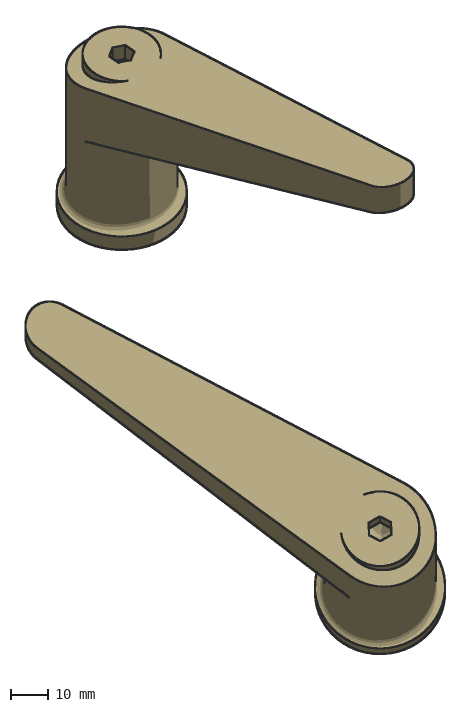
import cadquery as cq
import math

flange_diameter = 35.0
flange_radius = flange_diameter / 2
flange_height = 5.0
post_diameter = 30.0
post_radius = post_diameter / 2
flare_radius = flange_radius - post_radius

overall_length = 125.5
overall_height = 82.8
tip_radius = 7.0
tip_end_x = overall_length - flange_radius
tip_center_x = tip_end_x - tip_radius
top_slope = math.tan(math.radians(14.9))
underside_slope = math.tan(math.radians(20.0))
underside_axis_height = 34.1

head_radius = 10.5
head_top = 56.3

socket_flats = 6.0
socket_corners = socket_flats / math.cos(math.pi / 6)
socket_depth = 5.0
cone_depth = socket_corners / 2 * math.tan(math.radians(30.0))


def top_height(x):
    """Height of the sloping top face at x."""
    return overall_height - (tip_end_x - x) * top_slope


def underside_height(x):
    """Height of the sloping arm underside at x."""
    return underside_axis_height + x * underside_slope


def make_post():
    """Flange and post with a concave flare, cut off by the sloping top."""
    blank_height = top_height(post_radius)
    flare_top = flange_height + flare_radius
    flare_inset = flare_radius * math.sqrt(0.5)
    post = (
        cq.Workplane("XZ")
        .lineTo(flange_radius, 0)
        .lineTo(flange_radius, flange_height)
        .threePointArc(
            (flange_radius - flare_inset, flare_top - flare_inset),
            (post_radius, flare_top),
        )
        .lineTo(post_radius, blank_height)
        .lineTo(0, blank_height)
        .close()
        .revolve(360, (0, 0, 0), (0, 1, 0))
    )
    below_top = (
        cq.Workplane("XZ")
        .moveTo(-flange_radius, 0)
        .lineTo(flange_radius, 0)
        .lineTo(flange_radius, top_height(flange_radius))
        .lineTo(-flange_radius, top_height(-flange_radius))
        .close()
        .extrude(flange_radius, both=True)
    )
    return post.intersect(below_top)


def make_arm():
    """Tangent-sided arm outline, bounded above and below by sloping faces."""
    tangent_sin = (post_radius - tip_radius) / tip_center_x
    tangent_cos = math.sqrt(1 - tangent_sin**2)
    post_x = post_radius * tangent_sin
    post_y = post_radius * tangent_cos
    tip_x = tip_center_x + tip_radius * tangent_sin
    tip_y = tip_radius * tangent_cos
    outline = (
        cq.Workplane("XY")
        .moveTo(post_x, -post_y)
        .lineTo(tip_x, -tip_y)
        .threePointArc((tip_end_x, 0), (tip_x, tip_y))
        .lineTo(post_x, post_y)
        .close()
        .extrude(overall_height)
    )
    side_profile = (
        cq.Workplane("XZ")
        .moveTo(0, underside_height(0))
        .lineTo(tip_end_x, underside_height(tip_end_x))
        .lineTo(tip_end_x, overall_height)
        .lineTo(0, top_height(0))
        .close()
        .extrude(post_radius, both=True)
    )
    return outline.intersect(side_profile)


def make_head():
    """Flat-topped screw head, sunk into the post below the sloping top."""
    head_base = top_height(-post_radius)
    return (
        cq.Workplane("XY")
        .workplane(offset=head_base - socket_depth)
        .circle(head_radius)
        .extrude(head_top - head_base + socket_depth)
    )


def make_socket():
    """Hexagonal recess whose floor is a cone reaching out to the corners."""
    cone_tip = head_top - socket_depth - cone_depth
    hexagon = (
        cq.Workplane("XY")
        .workplane(offset=cone_tip)
        .polygon(6, socket_corners)
        .extrude(head_top - cone_tip)
    )
    pointed_envelope = (
        cq.Workplane("XZ")
        .moveTo(0, cone_tip)
        .lineTo(socket_corners / 2, cone_tip + cone_depth)
        .lineTo(socket_corners / 2, head_top)
        .lineTo(0, head_top)
        .close()
        .revolve(360, (0, 0, 0), (0, 1, 0))
    )
    return hexagon.intersect(pointed_envelope)


result = make_post().union(make_arm()).union(make_head()).cut(make_socket())